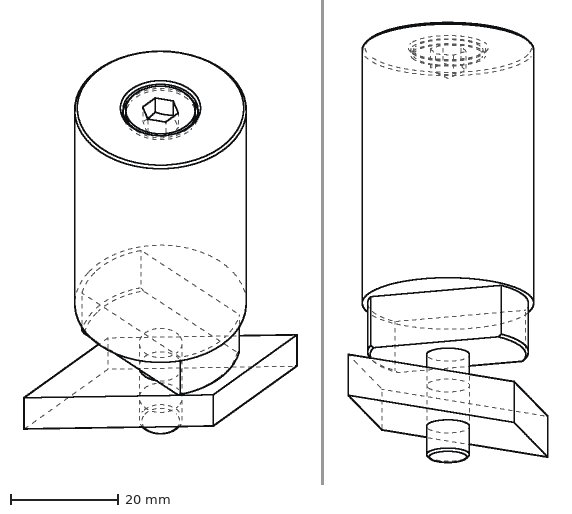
import cadquery as cq
import math

total_height = 80.0
plate_bottom = 6.0
plate_thickness = 8.0
barrel_length = 50.0
tang_length = 10.0
barrel_bottom = total_height - barrel_length
tang_bottom = barrel_bottom - tang_length

barrel_diameter = 32.0
tang_diameter = 30.0
tang_width = 16.0
spindle_diameter = 8.0
edge_chamfer = 0.5

head_diameter = 13.0
groove_diameter = 14.0
groove_depth = 1.0
mouth_chamfer = 0.5
head_top = total_height - mouth_chamfer

socket_across_flats = 5.9
socket_depth = 3.6
socket_cone_angle = 120.0
socket_corner_radius = socket_across_flats / math.sqrt(3)
socket_cone_height = socket_corner_radius / math.tan(math.radians(socket_cone_angle / 2))
socket_shoulder = head_top - socket_depth
socket_tip = socket_shoulder - socket_cone_height

plate_width = 25.0
plate_length = 47.6


def cylinder(diameter, bottom, top):
    """Round bar on the Z axis between two levels."""
    return cq.Workplane("XY").workplane(offset=bottom).circle(diameter / 2).extrude(top - bottom)


def revolve_about_z(profile):
    """Solid of revolution from (radius, height) points."""
    return cq.Workplane("XZ").polyline(profile).close().revolve(360, (0, 0, 0), (0, 1, 0))


def make_tang():
    """Round end, chamfered underneath and cut to two flats."""
    round_end = cylinder(tang_diameter, tang_bottom, barrel_bottom).faces("<Z").chamfer(edge_chamfer)
    flats = cq.Workplane("XY").workplane(offset=tang_bottom).rect(tang_diameter, tang_width).extrude(tang_length)
    return round_end.intersect(flats)


def make_head_recess():
    """Chamfered mouth down to the head face, then the ring groove around the head."""
    groove_radius = groove_diameter / 2
    mouth = revolve_about_z([
        (0, head_top),
        (groove_radius, head_top),
        (groove_radius + mouth_chamfer, total_height),
        (0, total_height),
    ])
    groove_bottom = head_top - groove_depth
    groove = cylinder(groove_diameter, groove_bottom, head_top).cut(
        cylinder(head_diameter, groove_bottom, head_top)
    )
    return mouth.union(groove)


def make_socket():
    """Hexagon with corners along Y, ending in the cone of a drill point."""
    hexagon = (
        cq.Workplane("XY")
        .workplane(offset=socket_tip)
        .polygon(6, 2 * socket_corner_radius)
        .extrude(head_top - socket_tip)
        .rotate((0, 0, 0), (0, 0, 1), 90)
    )
    drill = revolve_about_z([
        (0, socket_tip),
        (socket_corner_radius, socket_shoulder),
        (socket_corner_radius, head_top),
        (0, head_top),
    ])
    return hexagon.intersect(drill)


def make_housing():
    """Barrel with its tang, head and spindle in one piece."""
    barrel = cylinder(barrel_diameter, barrel_bottom, total_height).faces(">Z").chamfer(edge_chamfer)
    spindle = cylinder(spindle_diameter, 0, tang_bottom).faces("<Z").chamfer(edge_chamfer)
    housing = barrel.union(make_tang()).union(spindle)
    return housing.cut(make_head_recess()).cut(make_socket())


def make_plate():
    """Clamping plate with a through hole that fits the spindle."""
    half_width = plate_width / 2
    half_length = plate_length / 2
    inner_corner = half_length - plate_width
    outline = [
        (-half_width, -half_length),
        (half_width, -inner_corner),
        (half_width, half_length),
        (-half_width, inner_corner),
    ]
    plate = cq.Workplane("XY").workplane(offset=plate_bottom).polyline(outline).close().extrude(plate_thickness)
    return plate.cut(cylinder(spindle_diameter, plate_bottom, plate_bottom + plate_thickness))


housing = make_housing()
plate = make_plate()

result = cq.Compound.makeCompound([housing.val(), plate.val()])